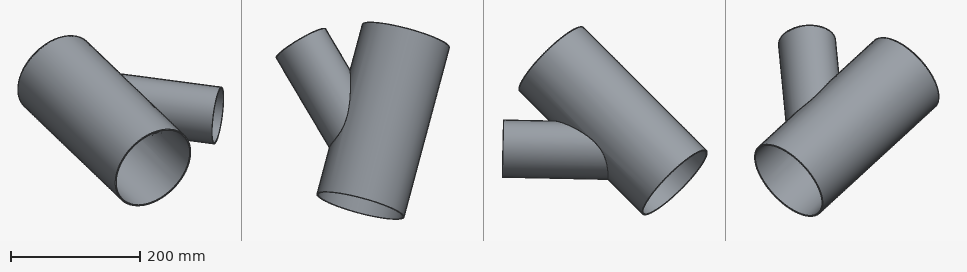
import cadquery as cq
import math

main_length = 276.0
main_outer_diameter = 139.7
main_inner_diameter = 135.8

branch_outer_diameter = 89.0
branch_inner_diameter = 85.0
branch_angle = 45.0
branch_start_x = -69.0
overall_width = 255.5

angle = math.radians(branch_angle)
branch_reach = overall_width - main_outer_diameter / 2
branch_corner_rise = branch_outer_diameter / 2 * math.cos(angle)
branch_length = (branch_reach - branch_corner_rise) / math.sin(angle)

branch_direction = (math.cos(angle), math.sin(angle), 0)
branch_plane = cq.Plane(origin=(branch_start_x, 0, 0), xDir=(0, 0, 1), normal=branch_direction)


def main_cylinder(diameter):
    """Cylinder along the full length of the main pipe."""
    return cq.Workplane("YZ").circle(diameter / 2).extrude(main_length / 2, both=True)


def branch_cylinder(diameter):
    """Cylinder along the branch axis, starting on the main axis."""
    return cq.Workplane(branch_plane).circle(diameter / 2).extrude(branch_length)


outer_body = main_cylinder(main_outer_diameter).union(branch_cylinder(branch_outer_diameter))
result = outer_body.cut(main_cylinder(main_inner_diameter)).cut(branch_cylinder(branch_inner_diameter))